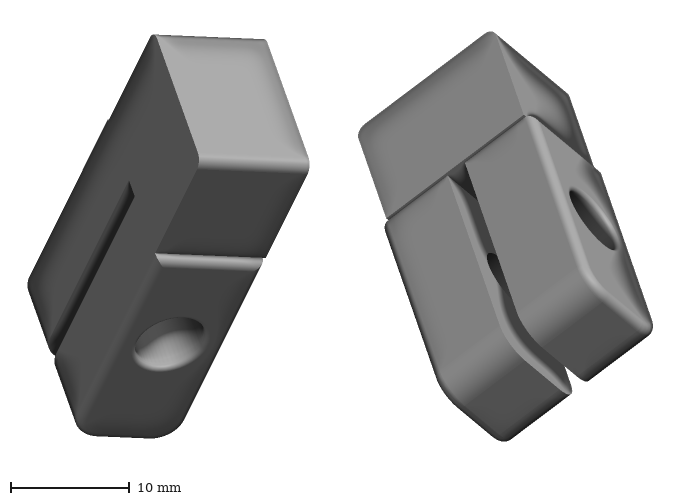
import cadquery as cq

lean_angle = 20.5

body_width = 16.65
body_thickness = 10.0
body_length = 22.15
corner_radius = 2.57
side_edge_radius = 0.8
slot_width = 1.9

hole_diameter = 6.1
hole_mouth_radius = 0.4
hole_below_head = 10.05

head_left_step = 0.7
head_right_step = 0.9
head_back_overhang = 0.3
head_length = 11.45
head_edge_radius = 1.0

head_width = body_width - head_left_step - head_right_step
head_thickness = body_thickness + head_back_overhang


def make_body():
    """Block with rounded lower corners and rounded side-face outlines."""
    block = cq.Workplane("XY").box(
        body_width, body_thickness, body_length, centered=(True, False, False)
    )
    block = block.faces("<Z").edges("|X").fillet(corner_radius)
    return block.faces("<X or >X").edges().fillet(side_edge_radius)


def cut_hole(body):
    """Cross hole centred in the thickness, with rounded outer mouths."""
    drilled = (
        body.faces("<X")
        .workplane(origin=(0, body_thickness / 2, body_length - hole_below_head))
        .hole(hole_diameter)
    )
    mouths = drilled.faces("<X or >X").edges("%CIRCLE").edges(cq.selectors.RadiusNthSelector(-1))
    return mouths.fillet(hole_mouth_radius)


def make_slot():
    """Full-height cutter that splits the body into two arms below the head."""
    return cq.Workplane("XY").box(
        slot_width, body_thickness, body_length, centered=(True, False, False)
    )


def make_head():
    """Block with its two upper side edges rounded."""
    block = cq.Workplane("XY").box(head_width, head_thickness, head_length, centered=False)
    block = block.faces(">Z").edges("|Y").fillet(head_edge_radius)
    return block.translate((head_left_step - body_width / 2, 0, body_length))


fork = cut_hole(make_body()).cut(make_slot())
upright_part = fork.union(make_head())
result = upright_part.rotate((0, 0, 0), (1, 0, 0), -lean_angle)